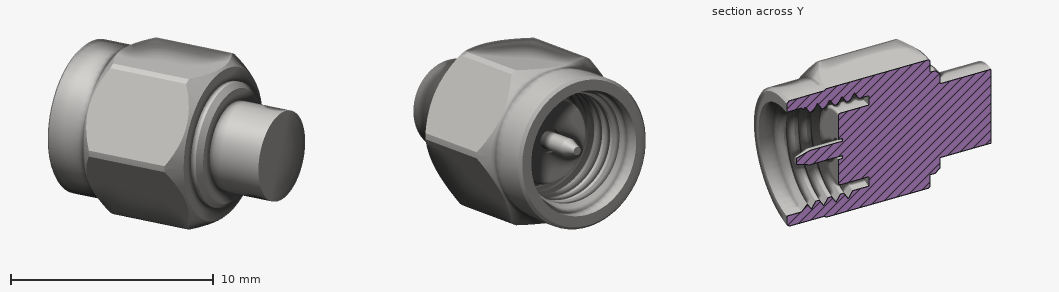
import cadquery as cq
import math

total_length = 11.18
sleeve_end = 2.06
hex_end = 7.84
collar_end = 8.38

sleeve_radius = 3.88
sleeve_chamfer = 0.15
across_flats = 7.94
corner_radius = 4.49
hex_end_radius = 3.88
hex_bevel_length = 0.73

collar_radius = 3.18
collar_chamfer = 0.27
tail_radius = 2.29

mouth_radius = 3.19
mouth_depth = 0.82
lead_in_length = 0.35
thread_minor_radius = 2.77
floor_depth = 4.47

thread_major_radius = 3.18
thread_pitch = 0.67
thread_root_width = 0.01
flank_angle = 30.0
thread_turns = 6.0
thread_start = 0.01
groove_overlap = 0.06

body_radius = 2.22
body_front = 2.82
body_edge_fillet = 0.15
pin_radius = 0.46
pin_tip_radius = 0.21
pin_front = 0.54
pin_taper_length = 0.74
pin_gap_radius = 0.6
pin_gap_depth = 0.22


def turned(points):
    """Revolve a closed (x, radius) outline about the X axis, seam on the -Y side."""
    outline = [(x, -radius) for x, radius in points]
    return cq.Workplane("XY").polyline(outline).close().revolve(360, (0, 0, 0), (1, 0, 0))


def cylinder(radius, start, end):
    """Solid cylinder along X between two stations."""
    return cq.Workplane("YZ").workplane(offset=start).circle(radius).extrude(end - start)


def hex_nut():
    """Hexagon with corners on Y, trimmed to a round and bevelled at both ends."""
    prism = (
        cq.Workplane("YZ")
        .workplane(offset=sleeve_end)
        .polygon(6, across_flats / math.cos(math.pi / 6))
        .extrude(hex_end - sleeve_end)
    )
    bevelled_envelope = turned([
        (sleeve_end, 0),
        (sleeve_end, hex_end_radius),
        (sleeve_end + hex_bevel_length, corner_radius),
        (hex_end - hex_bevel_length, corner_radius),
        (hex_end, hex_end_radius),
        (hex_end, 0),
    ])
    return prism.intersect(bevelled_envelope)


def exterior():
    """Front sleeve, hexagon, rear collar and tail as one solid."""
    sleeve = cylinder(sleeve_radius, 0, sleeve_end).faces("<X").chamfer(sleeve_chamfer)
    collar = cylinder(collar_radius, hex_end, collar_end).faces(">X").chamfer(collar_chamfer)
    tail = cylinder(tail_radius, collar_end, total_length)
    return sleeve.union(hex_nut()).union(collar).union(tail)


def plain_socket():
    """Mouth, conical lead-in and the bore left between the thread grooves."""
    return turned([
        (0, 0),
        (0, mouth_radius),
        (mouth_depth, mouth_radius),
        (mouth_depth + lead_in_length, thread_minor_radius),
        (floor_depth, thread_minor_radius),
        (floor_depth, 0),
    ])


def thread_groove():
    """Helical V groove with a narrow flat root, built about Z and then turned onto X."""
    inner_radius = thread_minor_radius - groove_overlap
    groove_depth = thread_major_radius - inner_radius
    root_half = thread_root_width / 2
    mouth_half = root_half + groove_depth * math.tan(math.radians(flank_angle))
    length = thread_turns * thread_pitch
    helix = cq.Wire.makeHelix(thread_pitch, length, thread_minor_radius)
    groove = (
        cq.Workplane("XZ")
        .polyline([
            (inner_radius, -mouth_half),
            (thread_major_radius, -root_half),
            (thread_major_radius, root_half),
            (inner_radius, mouth_half),
        ])
        .close()
        .sweep(cq.Workplane(obj=helix), isFrenet=True)
    )
    return groove.rotate((0, 0, 0), (0, 1, 0), 90).translate((thread_start, 0, 0))


def inner_body():
    """Round body inside the nut with a rounded front edge and a clearance around the pin."""
    body = cylinder(body_radius, body_front, floor_depth).faces("<X").edges().fillet(body_edge_fillet)
    return body.cut(cylinder(pin_gap_radius, body_front, body_front + pin_gap_depth))


def contact_pin():
    """Centre pin with a tapered, flat-ended tip."""
    return turned([
        (pin_front, 0),
        (pin_front, pin_tip_radius),
        (pin_front + pin_taper_length, pin_radius),
        (floor_depth, pin_radius),
        (floor_depth, 0),
    ])


threaded_shell = exterior().cut(plain_socket()).cut(thread_groove())
result = threaded_shell.union(inner_body()).union(contact_pin())